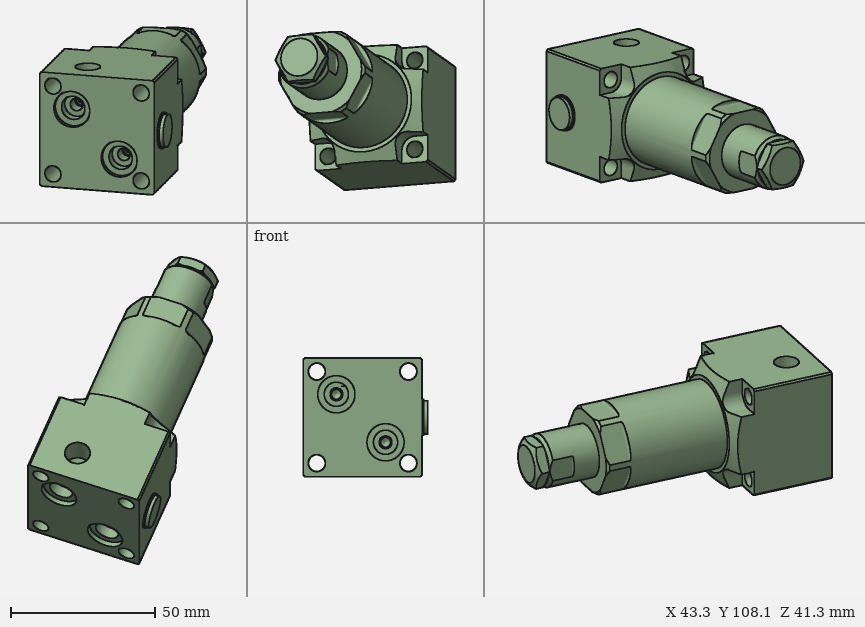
import cadquery as cq
import math


body_side = 41.27
body_half = body_side / 2
body_corner_chamfer = 0.65
shoulder_y = 38.2
shoulder_face_radius = 17.4
shoulder_slope_deg = 27.0
bolt_offset = 15.875
bolt_hole_diameter = 5.8
notch_start_y = 30.1
notch_corner_radius = 4.7

barrel_radius = 15.875
barrel_end_y = 84.6
barrel_chamfer = 1.0
barrel_flat_start_y = 75.4
barrel_flat_count = 6
barrel_flat_offset = 14.29
barrel_flat_fillet = 0.6

stem_radius = 9.6
stem_end_y = 103.5
stem_chamfer_length = 1.3
stem_chamfer_depth = 1.1
stem_flat_start_y = 94.3
stem_flat_offset = 8.74
stem_flat_fillet = 0.5

nut_end_y = 108.08
nut_across_flats = 16.0
nut_end_radius = 6.7
nut_base_radius = 8.6
nut_chamfer_deg = 30.0

port_centers = [(-9.1, 8.0), (7.95, -8.65)]
port_seat_radius = 6.45
port_seat_depth = 1.9
port_bore_radius = 4.2
port_bore_depth = 6.0
port_neck_radius = 2.2
port_neck_depth = 11.8
port_drill_radius = 1.75
port_drill_depth = 14.0

top_hole_x = -6.3
top_hole_y = 10.6
top_hole_radius = 4.37
top_hole_depth = 9.8

drill_point_deg = 118.0

plug_y = 9.8
plug_height = 2.0
plug_radius = 6.3
plug_rim_height = 0.6
plug_head_radius = 5.8


def turned(points):
    """Solid of revolution about the Y axis from (radius, y) points."""
    return cq.Workplane("XY").polyline(points).close().revolve(360, (0, 0, 0), (0, 1, 0))


def rod_along_y(radius, start_y, end_y, x=0, z=0):
    """Cylinder parallel to Y."""
    base = cq.Vector(x, start_y, z)
    rod = cq.Solid.makeCylinder(radius, end_y - start_y, base, cq.Vector(0, 1, 0))
    return cq.Workplane(rod)


def drilled_hole(radius, depth):
    """Blind hole cutter along +Y with a conical drill point beyond its full depth."""
    tip_length = radius / math.tan(math.radians(drill_point_deg / 2))
    return turned([(0, 0), (radius, 0), (radius, depth), (0, depth + tip_length)])


def make_body():
    block = (
        cq.Workplane("XY")
        .box(body_side, shoulder_y, body_side, centered=(True, False, True))
        .edges("|Y")
        .chamfer(body_corner_chamfer)
    )
    cone_radius = body_side
    cone_drop = (cone_radius - shoulder_face_radius) * math.tan(math.radians(shoulder_slope_deg))
    envelope = turned([
        (0, 0),
        (cone_radius, 0),
        (cone_radius, shoulder_y - cone_drop),
        (shoulder_face_radius, shoulder_y),
        (0, shoulder_y),
    ])
    block = block.intersect(envelope)
    return cut_corners(block)


def cut_corners(block):
    """Bolt holes and the clearance notches behind them."""
    notch_side = 2 * (body_half - bolt_offset + notch_corner_radius)
    notch_length = shoulder_y - notch_start_y
    for x_sign in (-1, 1):
        for z_sign in (-1, 1):
            notch = (
                cq.Workplane("XY")
                .box(notch_side, notch_length, notch_side, centered=(True, False, True))
                .edges("|Y")
                .fillet(notch_corner_radius)
                .translate((x_sign * body_half, notch_start_y, z_sign * body_half))
            )
            hole = rod_along_y(
                bolt_hole_diameter / 2, 0, shoulder_y, x_sign * bolt_offset, z_sign * bolt_offset
            )
            block = block.cut(notch).cut(hole)
    return block


def flat_cutter(offset, start_y, end_y, width, depth, fillet):
    """Cutter for one flat facing +Z, rounded where its floor meets the end wall."""
    return (
        cq.Workplane("XY")
        .box(width, end_y - start_y, depth, centered=(True, False, False))
        .edges("<Y and <Z")
        .fillet(fillet)
        .translate((0, start_y, offset))
    )


def make_barrel():
    barrel = rod_along_y(barrel_radius, shoulder_y, barrel_end_y).faces(">Y").chamfer(barrel_chamfer)
    cutter = flat_cutter(
        barrel_flat_offset, barrel_flat_start_y, barrel_end_y,
        2 * barrel_radius, barrel_radius, barrel_flat_fillet,
    )
    for index in range(barrel_flat_count):
        barrel = barrel.cut(cutter.rotate((0, 0, 0), (0, 1, 0), 360 / barrel_flat_count * index))
    return barrel


def make_stem():
    stem = turned([
        (0, barrel_end_y),
        (stem_radius, barrel_end_y),
        (stem_radius, stem_end_y - stem_chamfer_length),
        (stem_radius - stem_chamfer_depth, stem_end_y),
        (0, stem_end_y),
    ])
    cutter = flat_cutter(
        stem_flat_offset, stem_flat_start_y, stem_end_y,
        2 * stem_radius, stem_radius, stem_flat_fillet,
    )
    for angle in (-90, 90):
        stem = stem.cut(cutter.rotate((0, 0, 0), (0, 1, 0), angle))
    return stem


def make_nut():
    corner_radius = nut_across_flats / math.sqrt(3)
    nut_length = nut_end_y - stem_end_y
    hexagon = (
        cq.Workplane("XZ", origin=(0, stem_end_y, 0))
        .polygon(6, 2 * corner_radius)
        .extrude(-nut_length)
    )
    slope = math.tan(math.radians(nut_chamfer_deg))
    envelope = turned([
        (0, stem_end_y),
        (nut_base_radius, stem_end_y),
        (corner_radius, stem_end_y + (corner_radius - nut_base_radius) * slope),
        (corner_radius, nut_end_y - (corner_radius - nut_end_radius) * slope),
        (nut_end_radius, nut_end_y),
        (0, nut_end_y),
    ])
    return hexagon.intersect(envelope)


def make_plug():
    return (
        cq.Workplane("YZ", origin=(body_half, plug_y, 0))
        .circle(plug_radius)
        .extrude(plug_rim_height)
        .faces(">X")
        .workplane()
        .circle(plug_head_radius)
        .extrude(plug_height - plug_rim_height)
    )


def cut_ports(part):
    for x, z in port_centers:
        seat = rod_along_y(port_seat_radius, 0, port_seat_depth, x, z)
        bore = rod_along_y(port_bore_radius, 0, port_bore_depth, x, z)
        neck = rod_along_y(port_neck_radius, 0, port_neck_depth, x, z)
        drill = drilled_hole(port_drill_radius, port_drill_depth).translate((x, 0, z))
        part = part.cut(seat).cut(bore).cut(neck).cut(drill)
    return part


def cut_top_hole(part):
    hole = (
        drilled_hole(top_hole_radius, top_hole_depth)
        .rotate((0, 0, 0), (1, 0, 0), -90)
        .translate((top_hole_x, top_hole_y, body_half))
    )
    return part.cut(hole)


valve = make_body().union(make_barrel()).union(make_stem()).union(make_nut()).union(make_plug())
result = cut_top_hole(cut_ports(valve))